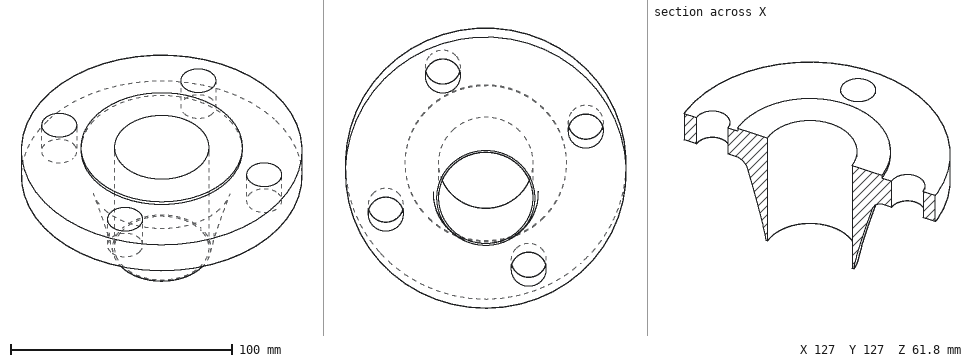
import cadquery as cq

total_height = 61.8
flange_diameter = 127.0
flange_thickness = 15.9
face_diameter = 73.0
face_height = 1.7

neck_top_radius = 31.6
neck_bottom_radius = 23.7
weld_end_radius = 22.2
bevel_height = 7.6
land_height = 0.9
blend_height = 4.8
blend_width = 4.8

bore_diameter = 42.7
bolt_hole_diameter = 15.9
bolt_circle_diameter = 98.4
bolt_count = 4

flange_top = total_height - face_height
flange_bottom = flange_top - flange_thickness
neck_top = flange_bottom - blend_height


def make_body():
    """Revolve the solid outer profile about the Z axis."""
    flange_radius = flange_diameter / 2
    face_radius = face_diameter / 2
    blend_end = (neck_top_radius + blend_width, flange_bottom)
    return (
        cq.Workplane("XZ")
        .lineTo(weld_end_radius, 0)
        .lineTo(neck_bottom_radius, bevel_height)
        .lineTo(neck_bottom_radius, bevel_height + land_height)
        .lineTo(neck_top_radius, neck_top)
        .tangentArcPoint(blend_end, relative=False)
        .lineTo(flange_radius, flange_bottom)
        .lineTo(flange_radius, flange_top)
        .lineTo(face_radius, flange_top)
        .lineTo(face_radius, total_height)
        .lineTo(0, total_height)
        .close()
        .revolve(360, (0, 0, 0), (0, 1, 0))
    )


def cut_openings(body):
    """Cut the central bore and the ring of bolt holes, all right through."""
    bored = body.faces(">Z").workplane().hole(bore_diameter)
    bolt_holes = (
        cq.Workplane("XY")
        .workplane(offset=flange_bottom)
        .polarArray(bolt_circle_diameter / 2, 0, 360, bolt_count)
        .circle(bolt_hole_diameter / 2)
        .extrude(flange_thickness)
    )
    return bored.cut(bolt_holes)


result = cut_openings(make_body())